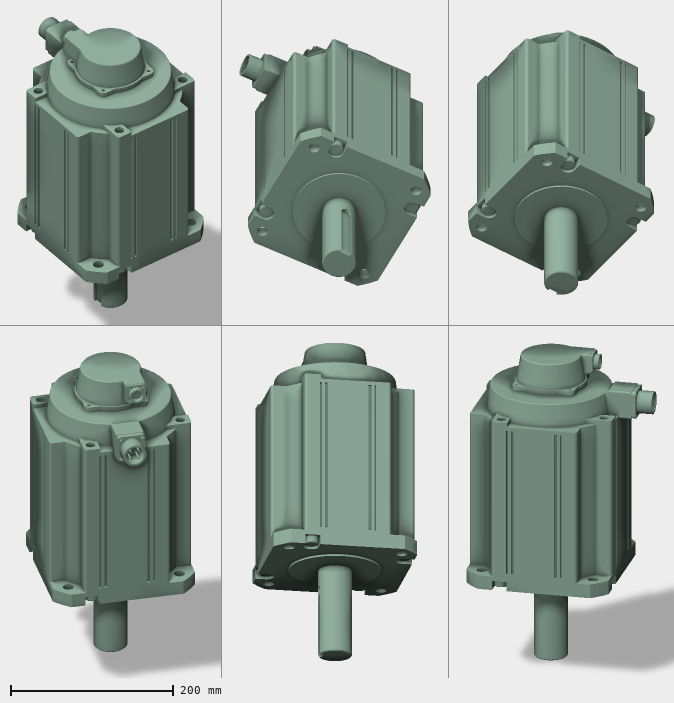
import cadquery as cq
import math


shaft_end_z = -113.3
flange_ear_top = 18.0
flange_top = 22.0
stator_top = 211.0
cover_plate_top = 216.0
cover_pad_top = 221.5
cover_top = 244.5
encoder_plate_top = 251.0
motor_top = 282.7

frame_size = 180.0
frame_half = frame_size / 2
notch_wall = 54.3
frame_round_radius = 88.7
frame_corner_fillet = 3.5
stator_notch_fillet = 3.0

slot_places = [(27.5, 3.5), (34.0, 2.5)]
slot_depth = 4.0

flange_corner_radius = 115.0
mounting_hole_offset = 70.5
mounting_hole_diameter = 13.5
pilot_diameter = 114.5
pilot_height = 2.5

shaft_diameter = 42.0
shaft_chamfer = 1.0
keyway_width = 13.5
keyway_length = 90.3
keyway_depth = 5.0

bolt_edge_distance = 78.0
bolt_side_offset = 44.0
bolt_diameter = 12.0
bolt_head_diameter = 18.0
bolt_head_bottom = 3.0
bolt_head_chamfer = 0.8
bolt_pocket_width = 18.5
bolt_pocket_top = 12.0
bolt_tip_z = 212.5

cover_base_radius = 80.0
cover_top_radius = 75.0
cover_edge_fillet = 1.0
pad_inner_side = 34.0
pad_reach = 47.5

power_axis_z = 229.5
power_block_size = 35.5
power_block_outer_x = -105.7
power_block_inner_x = -77.0
power_block_root_x = -59.5
power_block_fillet = 2.5
power_plate_size = 34.5
power_plate_thickness = 6.0
power_plate_fillet = 4.0
power_screw_diameter = 3.0
power_screw_offset = 13.5
power_shell_diameter = 28.5
power_shell_bore = 23.5
power_shell_length = 19.0
contact_diameter = 2.5
contact_offset = 5.0
contact_setback = 1.5

encoder_base_radius = 42.5
encoder_top_radius = 37.2
encoder_edge_fillet = 2.0
encoder_plate_radius = 44.7
encoder_plate_square = 80.0
encoder_plate_angle = -2.0
encoder_ear_fillet = 7.0
encoder_junction_fillet = 4.8
encoder_hole_offset = 34.0
encoder_hole_diameter = 4.5

encoder_connector_y = -20.0
encoder_block_width = 26.0
encoder_block_height = 25.5
encoder_block_outer_x = -48.5
encoder_block_root_x = -12.0
encoder_block_fillet = 2.0
encoder_connector_size = 24.5
encoder_connector_thickness = 2.8
encoder_connector_fillet = 3.5
encoder_screw_diameter = 2.8
encoder_screw_offset = 8.5
encoder_shell_diameter = 19.0
encoder_shell_bore = 14.5
encoder_shell_length = 6.7

same_place = 0.05

quarter_turns = [0, 90, 180, 270]
bolt_places = []
for turn in quarter_turns:
    cos_turn = round(math.cos(math.radians(turn)))
    sin_turn = round(math.sin(math.radians(turn)))
    bolt_places.append((
        -bolt_side_offset * cos_turn + bolt_edge_distance * sin_turn,
        -bolt_side_offset * sin_turn - bolt_edge_distance * cos_turn,
    ))


def cylinder(radius, bottom, top, places=((0, 0),)):
    """Upright cylinders between two heights."""
    return cq.Workplane("XY", origin=(0, 0, bottom)).pushPoints(places).circle(radius).extrude(top - bottom)


def box_between(x_range, y_range, z_range):
    """Box given by its limits along each axis."""
    lengths = [limits[1] - limits[0] for limits in (x_range, y_range, z_range)]
    return cq.Workplane("XY").box(*lengths, centered=False).translate((x_range[0], y_range[0], z_range[0]))


def facing_minus_x(x, y, z):
    """Workplane looking out along -X, with its local X along -Y and its local Y along Z."""
    return cq.Workplane(cq.Plane(origin=(x, y, z), xDir=(0, -1, 0), normal=(-1, 0, 0)))


def square_corners(offset):
    """Four points at the corners of a centred square."""
    return [(x, y) for x in (-offset, offset) for y in (-offset, offset)]


def cone(base_radius, top_radius, bottom, top, edge_fillet):
    """Upright truncated cone with a rounded top edge."""
    profile = [(0, bottom), (-base_radius, bottom), (-top_radius, top), (0, top)]
    body = cq.Workplane("XZ").polyline(profile).close().revolve(360, (0, 0, 0), (0, 1, 0))
    return body.faces(">Z").edges().fillet(edge_fillet)


def edges_at_radius(body, radius):
    """Upright edges of a body that lie at a given distance from the axis."""
    edges = []
    for edge in body.edges("|Z").vals():
        middle = edge.Center()
        if abs(math.hypot(middle.x, middle.y) - radius) < same_place:
            edges.append(edge)
    return body.newObject(edges)


def frame_prism(bottom, top):
    """Square prism whose corners are notched back to a round inner face."""
    height = top - bottom
    base = cq.Workplane("XY", origin=(0, 0, bottom))
    bar = base.rect(frame_size, 2 * notch_wall).extrude(height)
    cross = bar.union(bar.rotate((0, 0, 0), (0, 0, 1), 90))
    cross = edges_at_radius(cross, math.hypot(frame_half, notch_wall)).fillet(frame_corner_fillet)
    return cross.union(cylinder(frame_round_radius, bottom, top))


def make_stator():
    body = frame_prism(flange_top, stator_top)
    body = edges_at_radius(body, frame_round_radius).fillet(stator_notch_fillet)
    for turn in quarter_turns:
        for place, width in slot_places:
            for side in (-1, 1):
                slot = box_between(
                    (side * place - width / 2, side * place + width / 2),
                    (-frame_half, -frame_half + slot_depth),
                    (flange_top, stator_top),
                )
                body = body.cut(slot.rotate((0, 0, 0), (0, 0, 1), turn))
    return body.cut(cylinder(bolt_diameter / 2, flange_top, stator_top, bolt_places))


def make_flange():
    body = cq.Workplane("XY").rect(frame_size, frame_size).extrude(flange_ear_top)
    body = body.intersect(cylinder(flange_corner_radius, 0, flange_ear_top))
    body = body.union(frame_prism(flange_ear_top, flange_top))
    body = body.union(cylinder(pilot_diameter / 2, -pilot_height, 0))
    holes = square_corners(mounting_hole_offset)
    body = body.cut(cylinder(mounting_hole_diameter / 2, 0, flange_ear_top, holes))
    body = body.cut(cylinder(shaft_diameter / 2, -pilot_height, flange_top))
    body = body.cut(cylinder(bolt_diameter / 2, 0, flange_top, bolt_places))
    pocket = cylinder(bolt_pocket_width / 2, 0, bolt_pocket_top, [(-bolt_side_offset, -bolt_edge_distance)])
    pocket = pocket.union(box_between(
        (-bolt_side_offset - bolt_pocket_width / 2, -bolt_side_offset + bolt_pocket_width / 2),
        (-frame_half, -bolt_edge_distance),
        (0, bolt_pocket_top),
    ))
    for turn in quarter_turns:
        body = body.cut(pocket.rotate((0, 0, 0), (0, 0, 1), turn))
    return body


def make_shaft():
    body = cylinder(shaft_diameter / 2, shaft_end_z, flange_top)
    body = body.faces("<Z").edges().chamfer(shaft_chamfer)
    keyway_round_z = shaft_end_z + keyway_length - keyway_width / 2
    front = -shaft_diameter / 2
    keyway = box_between(
        (-keyway_width / 2, keyway_width / 2),
        (front, front + keyway_depth),
        (shaft_end_z, keyway_round_z),
    )
    round_end = cq.Workplane("XZ", origin=(0, front, keyway_round_z)).circle(keyway_width / 2)
    return body.cut(keyway).cut(round_end.extrude(-keyway_depth))


def make_tie_bolt(place):
    head = cylinder(bolt_head_diameter / 2, bolt_head_bottom, bolt_pocket_top, [place])
    head = head.faces("<Z").edges().chamfer(bolt_head_chamfer)
    return head.union(cylinder(bolt_diameter / 2, bolt_pocket_top, bolt_tip_z, [place]))


def power_connector():
    """Terminal block, screwed plate, and shell with four contacts."""
    half = power_block_size / 2
    block = box_between(
        (power_block_outer_x, power_block_inner_x),
        (-half, half),
        (power_axis_z - half, power_axis_z + half),
    )
    block = block.edges("|X or (>X and >Z)").fillet(power_block_fillet)
    root = box_between(
        (power_block_inner_x - power_block_fillet, power_block_root_x),
        (-half, half),
        (cover_plate_top, cover_top),
    )
    plate_face = facing_minus_x(power_block_outer_x, 0, power_axis_z)
    plate = plate_face.rect(power_plate_size, power_plate_size).extrude(power_plate_thickness)
    plate = plate.edges("|X").fillet(power_plate_fillet)
    screws = plate_face.pushPoints(square_corners(power_screw_offset)).circle(power_screw_diameter / 2)
    plate = plate.cut(screws.extrude(power_plate_thickness))
    shell_face = facing_minus_x(power_block_outer_x - power_plate_thickness, 0, power_axis_z)
    shell = shell_face.circle(power_shell_diameter / 2).circle(power_shell_bore / 2).extrude(power_shell_length)
    contacts = shell_face.pushPoints(square_corners(contact_offset)).circle(contact_diameter / 2)
    contacts = contacts.extrude(power_shell_length - contact_setback)
    return block.union(root).union(plate).union(shell).union(contacts)


def make_rear_cover():
    body = frame_prism(stator_top, cover_plate_top)
    pad = box_between((-notch_wall, -pad_inner_side), (-frame_half, -pad_reach), (stator_top, cover_pad_top))
    pad = edges_at_radius(pad, math.hypot(frame_half, notch_wall)).fillet(frame_corner_fillet)
    for turn in quarter_turns:
        body = body.union(pad.rotate((0, 0, 0), (0, 0, 1), turn))
    body = body.union(
        cone(cover_base_radius, cover_top_radius, cover_plate_top, cover_top, cover_edge_fillet)
    )
    body = body.union(power_connector())
    return body.cut(cylinder(bolt_diameter / 2, stator_top, cover_pad_top, bolt_places))


def encoder_plate():
    """Round plate with four screw ears."""
    thickness = encoder_plate_top - cover_top
    base = cq.Workplane("XY", origin=(0, 0, cover_top))
    square = base.rect(encoder_plate_square, encoder_plate_square).extrude(thickness)
    square = square.edges("|Z").fillet(encoder_ear_fillet)
    plate = square.union(cylinder(encoder_plate_radius, cover_top, encoder_plate_top))
    plate = edges_at_radius(plate, encoder_plate_radius).fillet(encoder_junction_fillet)
    holes = square_corners(encoder_hole_offset)
    plate = plate.cut(cylinder(encoder_hole_diameter / 2, cover_top, encoder_plate_top, holes))
    return plate.rotate((0, 0, 0), (0, 0, 1), encoder_plate_angle)


def encoder_connector():
    """Block flush with the top of the encoder cover, with a screwed plate and a round shell."""
    middle_z = motor_top - encoder_block_height / 2
    block = box_between(
        (encoder_block_outer_x, encoder_block_root_x),
        (encoder_connector_y - encoder_block_width / 2, encoder_connector_y + encoder_block_width / 2),
        (motor_top - encoder_block_height, motor_top),
    )
    block = block.edges("|X").fillet(encoder_block_fillet)
    plate_face = facing_minus_x(encoder_block_outer_x, encoder_connector_y, middle_z)
    plate = plate_face.rect(encoder_connector_size, encoder_connector_size).extrude(encoder_connector_thickness)
    plate = plate.edges("|X").fillet(encoder_connector_fillet)
    screws = plate_face.pushPoints(square_corners(encoder_screw_offset)).circle(encoder_screw_diameter / 2)
    plate = plate.cut(screws.extrude(encoder_connector_thickness))
    shell_x = encoder_block_outer_x - encoder_connector_thickness
    shell_face = facing_minus_x(shell_x, encoder_connector_y, middle_z)
    shell = shell_face.circle(encoder_shell_diameter / 2).circle(encoder_shell_bore / 2)
    return block.union(plate).union(shell.extrude(encoder_shell_length))


def make_encoder_cover():
    cap = cone(encoder_base_radius, encoder_top_radius, encoder_plate_top, motor_top, encoder_edge_fillet)
    return cap.union(encoder_plate()).union(encoder_connector())


stator = make_stator()
flange = make_flange()
shaft = make_shaft()
rear_cover = make_rear_cover()
encoder_cover = make_encoder_cover()
tie_bolts = [make_tie_bolt(place) for place in bolt_places]

result = cq.Compound.makeCompound([
    stator.val(),
    flange.val(),
    shaft.val(),
    rear_cover.val(),
    encoder_cover.val(),
    *[bolt.val() for bolt in tie_bolts],
])